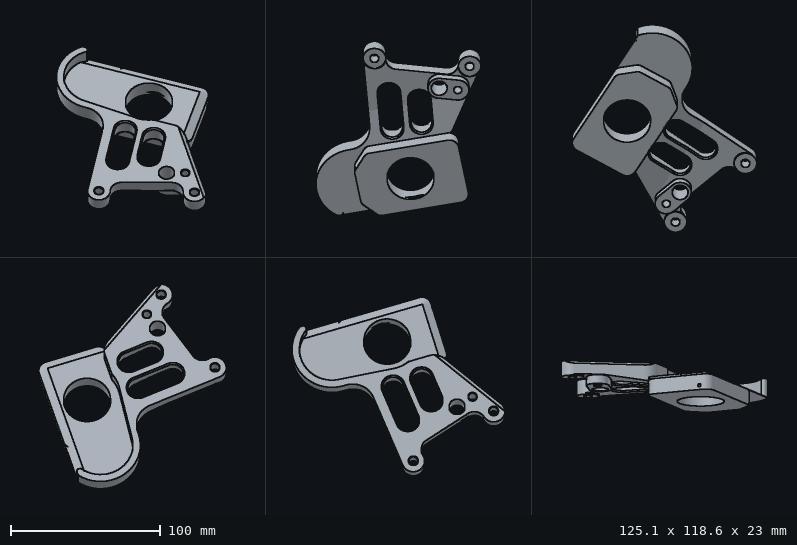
import cadquery as cq
import math

top_z = 23.0
deck_z = 13.3
plate_z = 10.3
arm_z = 13.6
boss_z = 12.6
pad_z = 7.8

deck_front_y = 70.9
wall_radius = 26.6
wall_center = (wall_radius, deck_front_y + wall_radius)
wall_thickness = 5.0
wall_tip_x = 14.5
wall_tip_fillet = 1.8
deck_right_x = 100.2
deck_back_y = 118.6
deck_corner_radius = 6.3
rim_width = 6.0
rim_lip = 0.1

block_left_x = 28.5
block_front_y = 70.7
block_bevel_x = 10.0
block_bevel_y = 11.8
block_left_fillet = 4.8

bore_center = (64.3, (block_front_y + deck_back_y) / 2)
bore_radius = 15.6
bore_clearance_radius = 22.0
cross_hole_radius = 1.0
cross_hole_z = 2.9
cross_hole_inset = 0.6
cross_hole_y = bore_center[1] + bore_radius - cross_hole_inset + cross_hole_radius
cross_hole_end_x = 57.5

boss_radius = 7.6
left_boss = (56.2, boss_radius)
right_boss = (117.5, 25.3)
armpit_radius = 15.0
armpit_x = 28.5
notch_radius = 7.5
notch_angle = 15.0
shoulder_radius = 12.3
shoulder_x = 87.7
shoulder_y = 74.4
ramp_end_y = 46.3
edge_bevel_width = 3.0
edge_bevel_depth = 2.3

slot_radius = 6.9
slot_bevel = 1.0
slot_back_y = 60.8
long_slot_x = 58.2
long_slot_length = 25.3
short_slot_x = 78.0
short_slot_length = 16.5
pin_hole = (95.0, 35.2)
pin_hole_radius = 5.3
small_hole = (106.8, 38.8)
small_hole_radius = 2.6
boss_hole_radius = 2.9
hole_bevel = 0.4
pad_radius = 7.5

overshoot = 6.3


def polar(center, radius, degrees):
    """Point on a circle."""
    a = math.radians(degrees)
    return (center[0] + radius * math.cos(a), center[1] + radius * math.sin(a))


def heading(start, end):
    """Direction from one point to another, in degrees."""
    return math.degrees(math.atan2(end[1] - start[1], end[0] - start[0]))


def tangent_spread(c1, c2, radius_change):
    """Angle between the line of centers and the normal of a line touching both circles."""
    return math.degrees(math.acos(radius_change / math.dist(c1, c2)))


def disc(center, radius, z0, z1, taper=0):
    return cq.Workplane("XY", origin=(*center, z0)).circle(radius).extrude(z1 - z0, taper=taper)


def belt(c1, r1, c2, r2, z0, z1, taper=0):
    """Solid wrapped round two circles, with straight tangent sides."""
    along = heading(c1, c2)
    spread = tangent_spread(c1, c2, r1 - r2)
    return (
        cq.Workplane("XY", origin=(0, 0, z0))
        .moveTo(*polar(c1, r1, along - spread))
        .lineTo(*polar(c2, r2, along - spread))
        .threePointArc(polar(c2, r2, along), polar(c2, r2, along + spread))
        .lineTo(*polar(c1, r1, along + spread))
        .threePointArc(polar(c1, r1, along + 180), polar(c1, r1, along - spread))
        .close()
        .extrude(z1 - z0, taper=taper)
    )


def countersunk_hole(center, radius):
    bore = disc(center, radius, 0, top_z)
    return bore.union(disc(center, radius, top_z - hole_bevel, top_z, taper=-45))


armpit_center = (armpit_x, deck_front_y - armpit_radius)
left_normal = heading(armpit_center, left_boss)
left_normal += tangent_spread(armpit_center, left_boss, armpit_radius + boss_radius)
left_notch = polar(left_boss, boss_radius + notch_radius, notch_angle)
right_notch = polar(right_boss, boss_radius + notch_radius, notch_angle + 180)
lower_normal = heading(left_notch, right_notch) + 90
shoulder_center = (shoulder_x, shoulder_y - shoulder_radius)
right_normal = heading(shoulder_center, right_boss)
right_normal += tangent_spread(shoulder_center, right_boss, shoulder_radius - boss_radius)
edge_start = polar(shoulder_center, shoulder_radius, right_normal)


def make_arm():
    arm = (
        cq.Workplane("XY", origin=(0, 0, plate_z))
        .moveTo(*wall_center)
        .lineTo(wall_center[0], deck_front_y)
        .lineTo(armpit_x, deck_front_y)
        .threePointArc(
            polar(armpit_center, armpit_radius, (90 + left_normal) / 2),
            polar(armpit_center, armpit_radius, left_normal),
        )
        .lineTo(*polar(left_boss, boss_radius, left_normal + 180))
        .lineTo(*left_boss)
        .lineTo(*polar(left_notch, notch_radius, notch_angle + 180))
        .threePointArc(
            polar(left_notch, notch_radius, (notch_angle + 180 + lower_normal) / 2),
            polar(left_notch, notch_radius, lower_normal),
        )
        .lineTo(*polar(right_notch, notch_radius, lower_normal))
        .threePointArc(
            polar(right_notch, notch_radius, (lower_normal + notch_angle) / 2),
            polar(right_notch, notch_radius, notch_angle),
        )
        .lineTo(*right_boss)
        .lineTo(*polar(right_boss, boss_radius, right_normal))
        .lineTo(*edge_start)
        .threePointArc(
            polar(shoulder_center, shoulder_radius, (right_normal + 90) / 2),
            (shoulder_x, shoulder_y),
        )
        .close()
        .extrude(top_z - plate_z)
    )
    below_ramp = (
        cq.Workplane("YZ")
        .polyline([
            (block_front_y, 0),
            (block_front_y, plate_z),
            (ramp_end_y, arm_z),
            (-overshoot, arm_z),
            (-overshoot, 0),
        ])
        .close()
        .extrude(right_boss[0] + boss_radius)
    )
    return arm.cut(below_ramp)


def make_pocket():
    """Space enclosed by the curved wall and the back edge of the arm."""
    depth = top_z - plate_z
    around_bore = belt(
        wall_center, wall_radius - wall_thickness,
        bore_center, bore_clearance_radius,
        plate_z, top_z,
    )
    right_side = (
        cq.Workplane("XY", origin=(bore_center[0], shoulder_y, plate_z))
        .box(deck_right_x - bore_center[0], deck_back_y - shoulder_y, depth, centered=False)
    )
    past_tip = (
        cq.Workplane("XY", origin=(wall_tip_x, wall_center[1], plate_z))
        .box(deck_right_x - wall_tip_x, wall_radius, depth, centered=False)
    )
    return around_bore.union(right_side).union(past_tip)


def make_wall():
    wall = disc(wall_center, wall_radius, plate_z, top_z)
    behind = (
        cq.Workplane("XY", origin=(0, deck_back_y, 0))
        .box(deck_right_x, wall_radius, top_z, centered=False)
    )
    return wall.cut(behind)


def make_deck():
    """Thin floor of the pocket, with a sloping rim along its back and right edges."""
    thickness = deck_z - plate_z
    back_start_x = wall_center[0] - math.sqrt(wall_radius**2 - (deck_back_y - wall_center[1]) ** 2)
    sharp_front = (
        cq.Workplane("XY", origin=(0, 0, plate_z))
        .moveTo(wall_center[0], deck_front_y)
        .lineTo(deck_right_x, deck_front_y)
        .lineTo(deck_right_x, deck_back_y)
        .lineTo(back_start_x, deck_back_y)
        .threePointArc((0, wall_center[1]), (wall_center[0], deck_front_y))
        .close()
        .extrude(thickness)
        .edges("|Z and >X and >Y")
        .fillet(deck_corner_radius)
        .faces(">Z")
        .edges(">Y")
        .chamfer(rim_width, thickness - rim_lip)
    )
    rounded_slab = (
        cq.Workplane("XY", origin=(0, deck_front_y, plate_z))
        .box(deck_right_x, deck_back_y - deck_front_y, thickness, centered=False)
        .edges("|Z and >X")
        .fillet(deck_corner_radius)
    )
    return sharp_front.intersect(rounded_slab)


def make_block():
    """Block under the deck, beveled at its two left corners."""
    bevel_end_x = block_left_x + block_bevel_x
    left_edge = [
        (bevel_end_x, deck_back_y),
        (block_left_x, deck_back_y - block_bevel_y),
        (block_left_x, block_front_y + block_bevel_y),
        (bevel_end_x, block_front_y),
    ]
    left_corners = cq.selectors.BoxSelector(
        (0, 0, 0),
        (bevel_end_x + overshoot, deck_back_y + overshoot, plate_z),
    )
    right_edge = [(deck_right_x, block_front_y), (deck_right_x, deck_back_y)]
    return (
        cq.Workplane("XY")
        .polyline(left_edge + right_edge)
        .close()
        .extrude(plate_z)
        .edges("|Z and >X")
        .fillet(deck_corner_radius)
        .edges(left_corners)
        .edges("|Z")
        .fillet(block_left_fillet)
    )


def make_edge_bevel():
    """Wedge that slopes the top of the straight edge running down to the right boss."""
    outward = polar((0, 0), 1, right_normal)
    section = cq.Plane(
        origin=(*edge_start, top_z),
        xDir=(*outward, 0),
        normal=(outward[1], -outward[0], 0),
    )
    slope = edge_bevel_depth / edge_bevel_width
    half_length = math.dist(edge_start, right_boss) + boss_radius
    return (
        cq.Workplane(section)
        .polyline([
            (-edge_bevel_width, 0),
            (overshoot, 0),
            (overshoot, -slope * (overshoot + edge_bevel_width)),
        ])
        .close()
        .extrude(half_length, both=True)
    )


def make_slot(back_x, length):
    """Slot parallel to the left edge of the arm, with a beveled upper rim."""
    back = (back_x, slot_back_y)
    front = polar(back, length, left_normal - 90)
    slot = belt(back, slot_radius, front, slot_radius, 0, top_z)
    rim = belt(back, slot_radius, front, slot_radius, top_z - slot_bevel, top_z, taper=-45)
    return slot.union(rim)


def bevel_slot_underside(body, back_x, length):
    """Bevel the lower rim of a slot, which bends where the ramp meets the flat underside."""
    clearance = 2 * slot_bevel
    around_slot = cq.selectors.BoxSelector(
        (back_x - slot_radius - clearance, slot_back_y - length - slot_radius - clearance, plate_z),
        (back_x + slot_radius + clearance, slot_back_y + slot_radius + clearance, arm_z + clearance),
    )
    return body.edges(around_slot).edges("not |X").chamfer(slot_bevel)


def make_cross_hole():
    length = deck_right_x - cross_hole_end_x
    return (
        cq.Workplane("YZ", origin=(cross_hole_end_x, cross_hole_y, cross_hole_z))
        .circle(cross_hole_radius)
        .extrude(length)
    )


wall_and_arm = make_wall().union(make_arm()).cut(make_pocket())
tip_corner = cq.selectors.NearestToPointSelector((wall_tip_x, deck_back_y, (plate_z + top_z) / 2))
wall_and_arm = wall_and_arm.edges("|Z").edges(tip_corner).fillet(wall_tip_fillet)
for boss in (left_boss, right_boss):
    wall_and_arm = wall_and_arm.union(disc(boss, boss_radius, boss_z, top_z))
wall_and_arm = wall_and_arm.cut(make_edge_bevel())

result = wall_and_arm.union(make_deck()).union(make_block())
result = result.union(belt(pin_hole, pad_radius, small_hole, pad_radius, pad_z, arm_z))

result = result.cut(disc(bore_center, bore_radius, 0, top_z)).cut(make_cross_hole())
for back_x, length in ((long_slot_x, long_slot_length), (short_slot_x, short_slot_length)):
    result = result.cut(make_slot(back_x, length))
    result = bevel_slot_underside(result, back_x, length)
result = result.cut(disc(pin_hole, pin_hole_radius, 0, top_z))
result = result.cut(countersunk_hole(small_hole, small_hole_radius))
for boss in (left_boss, right_boss):
    result = result.cut(countersunk_hole(boss, boss_hole_radius))